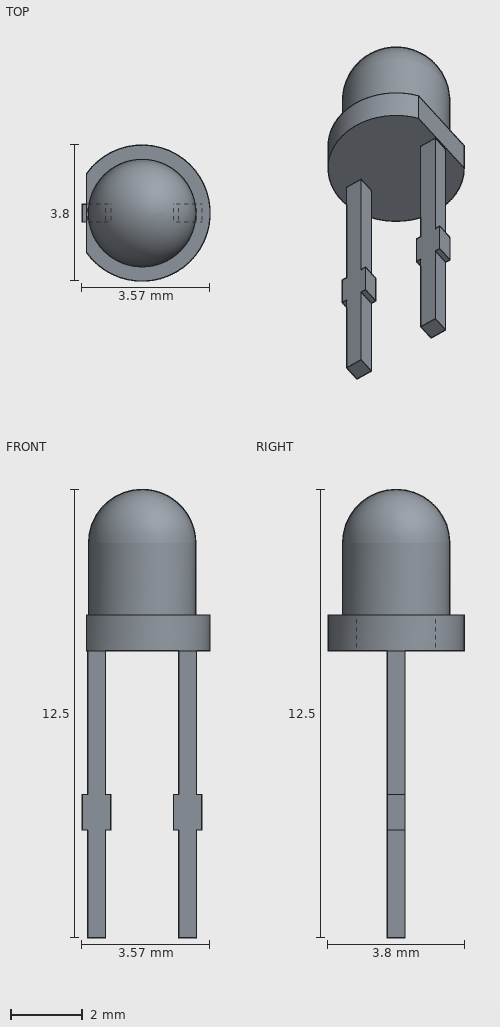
import cadquery as cq

lens_diameter = 3
lens_radius = lens_diameter / 2
total_height = 12.5
dome_base_z = total_height - lens_radius

flange_diameter = 3.8
flange_bottom_z = 8
flange_height = 1
flat_distance = 1.55

lead_pitch = 2.54
lead_width = 0.5
standoff_width = 0.8
standoff_height = 1
standoff_bottom_z = 3


def make_lens():
    cylinder_height = dome_base_z - flange_bottom_z
    cylinder = cq.Workplane("XY").workplane(offset=flange_bottom_z).circle(lens_radius).extrude(cylinder_height)
    dome = cq.Workplane("XY").sphere(lens_radius).translate((0, 0, dome_base_z))
    return cylinder.union(dome)


def make_flange():
    disc = cq.Workplane("XY").circle(flange_diameter / 2).extrude(flange_height)
    kept_side = cq.Workplane("XY").box(
        flange_diameter, flange_diameter, flange_height, centered=(False, True, False)
    ).translate((-flat_distance, 0, 0))
    return disc.intersect(kept_side).translate((0, 0, flange_bottom_z))


def make_lead(x):
    centered = (True, True, False)
    pin = cq.Workplane("XY").box(lead_width, lead_width, flange_bottom_z, centered=centered)
    standoff = cq.Workplane("XY").box(standoff_width, lead_width, standoff_height, centered=centered)
    return pin.union(standoff.translate((0, 0, standoff_bottom_z))).translate((x, 0, 0))


result = make_lens().union(make_flange())
for side in (-1, 1):
    result = result.union(make_lead(side * lead_pitch / 2))